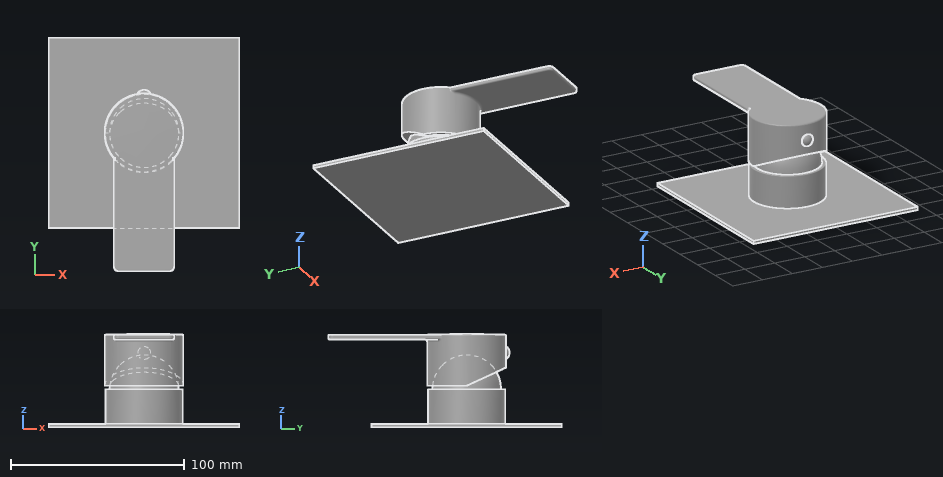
import cadquery as cq
import math

plate_side = 110.0
plate_thickness = 2.0

collar_radius = 22.4
collar_height = 20.0
collar_top = plate_thickness + collar_height
collar_edge_fillet = 0.4

ball_radius = 20.0

cap_radius = 22.8
cap_gap = 2.0
cap_bottom = collar_top + cap_gap
overall_height = 54.1
dome_rise = 0.5
cap_rim = overall_height - dome_rise
cap_edge_fillet = 1.0

relief_rise_at_rear = 10.5

lever_width = 35.0
lever_reach = 80.0
lever_thickness = 3.0
lever_corner_radius = 3.0
lever_edge_fillet = 1.0
lever_root_fillet = 1.4

slack = 0.1

button_radius = 3.7
button_tip = 24.85
button_seat = 22.9
button_height = 43.1


def spherical_cap(base_radius, rise):
    """Solid dome on the XY plane, its flat base centred on the origin."""
    half_angle = math.atan2(rise, base_radius)
    sphere_radius = (base_radius**2 + rise**2) / (2 * rise)
    mid_point = (
        sphere_radius * math.sin(half_angle),
        rise - sphere_radius * (1 - math.cos(half_angle)),
    )
    return (
        cq.Workplane("XZ")
        .lineTo(base_radius, 0)
        .threePointArc(mid_point, (0, rise))
        .close()
        .revolve(360, (0, 0, 0), (0, 1, 0))
    )


def make_ball():
    """Swivel ball, which also shapes its socket in the handle."""
    return cq.Workplane("XY").sphere(ball_radius).translate((0, 0, collar_top))


def make_base():
    """Wall plate, collar and swivel ball in one piece."""
    plate = cq.Workplane("XY").rect(plate_side, plate_side).extrude(plate_thickness)
    collar = (
        cq.Workplane("XY")
        .workplane(offset=plate_thickness)
        .circle(collar_radius)
        .extrude(collar_height)
        .faces(">Z")
        .edges()
        .fillet(collar_edge_fillet)
    )
    return plate.union(collar).union(make_ball())


def make_lever():
    """Flat blade with rounded front corners and softened edges."""
    return (
        cq.Workplane("XY")
        .workplane(offset=cap_rim - lever_thickness)
        .center(0, -lever_reach / 2)
        .rect(lever_width, lever_reach)
        .extrude(lever_thickness)
        .edges("|Z and <Y")
        .fillet(lever_corner_radius)
        .faces("<Z or >Z")
        .edges("not >Y")
        .fillet(lever_edge_fillet)
    )


def make_relief():
    """Wedge that clears the rear underside of the cap."""
    return (
        cq.Workplane("YZ")
        .moveTo(0, cap_bottom)
        .lineTo(cap_radius, cap_bottom)
        .lineTo(cap_radius, cap_bottom + relief_rise_at_rear)
        .close()
        .extrude(cap_radius, both=True)
    )


def make_button():
    """Domed button with a short stem that reaches back into the cap."""
    dome = spherical_cap(button_radius, button_tip - button_seat)
    stem = cq.Workplane("XY").circle(button_radius).extrude(-button_radius)
    button = dome.union(stem).rotate((0, 0, 0), (1, 0, 0), -90)
    return button.translate((0, button_seat, button_height))


def make_cap(dome):
    """Round cap under a shallow dome, with its rim rounded."""
    body = (
        cq.Workplane("XY")
        .workplane(offset=cap_bottom)
        .circle(cap_radius)
        .extrude(cap_rim - cap_bottom)
    )
    rim = cq.selectors.NearestToPointSelector((0, 0, cap_rim))
    return body.union(dome).edges(rim).fillet(cap_edge_fillet)


def lever_root_zone():
    """Selector for the edges where the lever's sides and underside meet the cap."""
    half_width = lever_width / 2
    root_start = -math.sqrt(cap_radius**2 - half_width**2)
    return cq.selectors.BoxSelector(
        (-half_width - slack, -cap_radius - slack, cap_rim - lever_thickness - slack),
        (half_width + slack, root_start + slack, cap_rim - slack),
        boundingbox=True,
    )


def make_handle():
    """Cap, lever and button in one piece, with a socket for the ball.

    Along the lever the dome runs out to the cap's full radius, without the rounded rim.
    """
    dome = spherical_cap(cap_radius, dome_rise).translate((0, 0, cap_rim))
    cap = make_cap(dome)
    flat_width = lever_width - 2 * lever_edge_fillet
    lever_strip = (
        cq.Workplane("XY")
        .workplane(offset=cap_rim)
        .center(0, -cap_radius / 2)
        .rect(flat_width, cap_radius)
        .extrude(dome_rise)
    )
    dome_front = dome.intersect(lever_strip)
    joined = cap.union(make_lever())
    root_edges = joined.edges(lever_root_zone())
    handle = root_edges.fillet(lever_root_fillet).union(dome_front)
    return handle.cut(make_relief()).union(make_button()).cut(make_ball())


base = make_base()
handle = make_handle()
result = cq.Compound.makeCompound([base.val(), handle.val()])